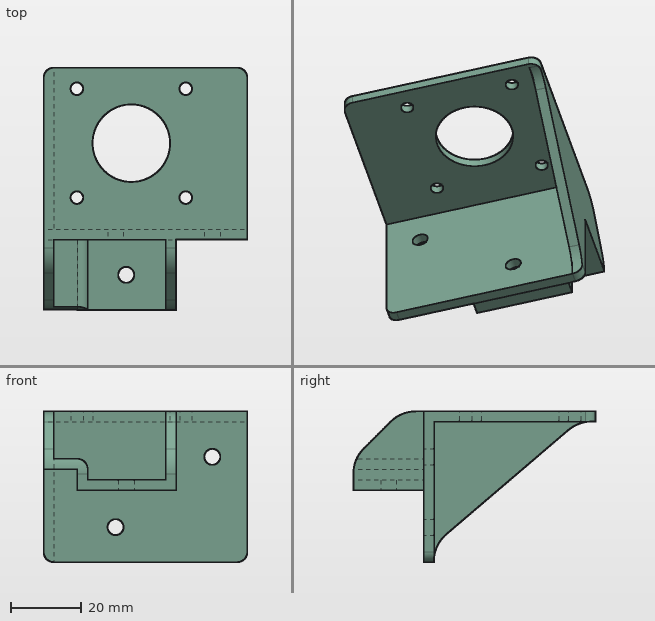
import cadquery as cq

width = 58.0
total_depth = 69.0
height = 43.0
tray_depth = 20.0
plate_depth = total_depth - tray_depth
wall = 3.0
corner_radius = wall
bend_radius = 10.0

gusset_setback = 5.0

tray_width = 37.75
step_x = 9.6
shelf_z = -13.5
floor_z = -19.5
cheek_chamfer = 13.6

motor_x = 25.0
motor_y = 27.45
motor_bore = 22.0
motor_screw_pitch = 31.0
motor_screw_diameter = 3.5

fixing_diameter = 4.5
upright_holes = [(48.0, -13.0), (20.5, -33.0)]
tray_hole_x = 23.5


def vertical_hole(x, y, diameter):
    """Cylinder that cuts through the full height."""
    return cq.Workplane("XY").center(x, y).circle(diameter / 2).extrude(-height)


def make_top_plate():
    return cq.Workplane("XY").box(width, plate_depth, wall, centered=False).translate((0, 0, -wall))


def make_upright_plate():
    return cq.Workplane("XY").box(width, wall, height, centered=False).translate((0, 0, -height))


def make_gusset():
    """Side wall joining both plates, with a sloping rear edge that curves into them."""
    slope_top = (plate_depth - gusset_setback, -wall)
    slope_bottom = (wall, gusset_setback - height)
    outline = [
        (0, 0),
        (plate_depth, 0),
        (plate_depth, -wall),
        slope_top,
        slope_bottom,
        (wall, -height),
        (0, -height),
    ]
    gusset = cq.Workplane("YZ").polyline(outline).close().extrude(wall)
    for y, z in (slope_top, slope_bottom):
        edge = cq.selectors.NearestToPointSelector((wall / 2, y, z))
        gusset = gusset.edges("|X").edges(edge).fillet(bend_radius)
    return gusset


def make_tray():
    """Stepped tray: a constant section across X trimmed to the rounded cheek profile."""
    inner_step_x = step_x + wall
    section = (
        cq.Workplane("XZ")
        .moveTo(0, 0)
        .lineTo(wall, 0)
        .lineTo(wall, shelf_z)
        .lineTo(step_x, shelf_z)
        .radiusArc((inner_step_x, shelf_z - wall), wall)
        .lineTo(inner_step_x, floor_z)
        .lineTo(tray_width - wall, floor_z)
        .lineTo(tray_width - wall, 0)
        .lineTo(tray_width, 0)
        .lineTo(tray_width, floor_z - wall)
        .lineTo(step_x, floor_z - wall)
        .lineTo(step_x, shelf_z - wall)
        .lineTo(0, shelf_z - wall)
        .close()
        .extrude(tray_depth)
    )
    chamfer_top = (cheek_chamfer - tray_depth, 0)
    chamfer_front = (-tray_depth, -cheek_chamfer)
    profile_points = [
        (0, 0),
        chamfer_top,
        chamfer_front,
        (-tray_depth, floor_z - wall),
        (0, floor_z - wall),
    ]
    profile = cq.Workplane("YZ").polyline(profile_points).close().extrude(tray_width)
    for y, z in (chamfer_top, chamfer_front):
        edge = cq.selectors.NearestToPointSelector((tray_width / 2, y, z))
        profile = profile.edges("|X").edges(edge).fillet(bend_radius)
    return section.intersect(profile)


bracket = make_top_plate().union(make_upright_plate()).union(make_gusset())
envelope = (
    cq.Workplane("XY")
    .box(width, plate_depth, height, centered=False)
    .translate((0, 0, -height))
)
rear_rounding = envelope.edges("|Z and >Y").fillet(corner_radius)
lower_rounding = envelope.edges("|Y and <Z").fillet(corner_radius)
bracket = bracket.intersect(rear_rounding).intersect(lower_rounding).union(make_tray())

bracket = bracket.cut(vertical_hole(motor_x, motor_y, motor_bore))
for side_x in (-1, 1):
    for side_y in (-1, 1):
        screw_x = motor_x + side_x * motor_screw_pitch / 2
        screw_y = motor_y + side_y * motor_screw_pitch / 2
        bracket = bracket.cut(vertical_hole(screw_x, screw_y, motor_screw_diameter))

fixing_holes = cq.Workplane("XZ").pushPoints(upright_holes).circle(fixing_diameter / 2).extrude(-wall)
bracket = bracket.cut(fixing_holes)
bracket = bracket.cut(vertical_hole(tray_hole_x, -tray_depth / 2, fixing_diameter))

result = bracket